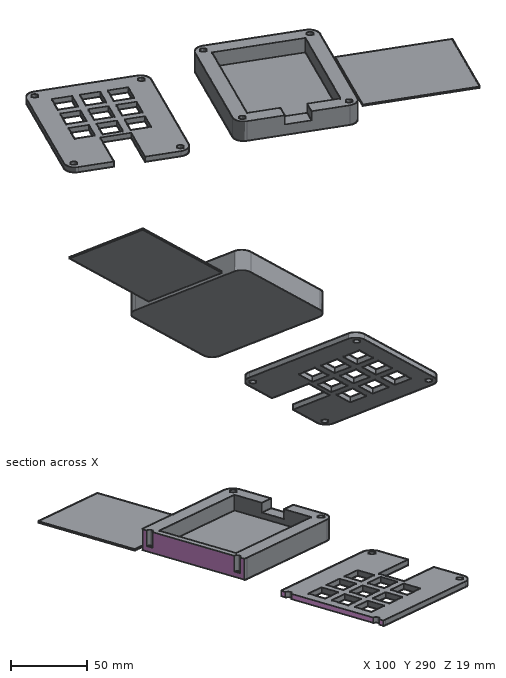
import cadquery as cq

CASE_WIDTH = 100.0
CASE_DEPTH = 85.3
CORNER_RADIUS = 7.5
SCREW_DIAMETER = 4.5
SCREW_SPACING_X = 89.0
SCREW_SPACING_Y = 72.8

PLATE_THICKNESS = 4.0
PLATE_CENTER_Y = CASE_DEPTH / 2
KEY_COUNT = 3
KEY_SIZE = 14.0
KEY_PITCH = 19.0
KEY_GRID_X = -11.3
KEY_GRID_Y = -1.0
PLATE_SLOT_LENGTH = 31.5
PLATE_SLOT_WIDTH = 21.2

HOUSING_HEIGHT = 15.0
HOUSING_FRONT_Y = 115.0
HOUSING_CENTER_Y = HOUSING_FRONT_Y + CASE_DEPTH / 2
POCKET_LENGTH = 80.0
POCKET_WIDTH = 63.8
FLOOR_THICKNESS = 4.0
POCKET_DEPTH = HOUSING_HEIGHT - FLOOR_THICKNESS
NOTCH_WIDTH = 18.3
NOTCH_DEPTH = 7.0

SHEET_WIDTH = 63.0
SHEET_LENGTH = POCKET_LENGTH
SHEET_THICKNESS = 1.2
SHEET_CENTER_X = (SHEET_WIDTH - POCKET_LENGTH) / 2
LAYOUT_LENGTH = 290
SHEET_CENTER_Y = LAYOUT_LENGTH - SHEET_LENGTH / 2

BOTTOM_UP = (True, True, False)


def rounded_slab(height):
    """Slab with the case footprint, standing on Z = 0."""
    slab = cq.Workplane("XY").box(CASE_WIDTH, CASE_DEPTH, height, centered=BOTTOM_UP)
    return slab.edges("|Z").fillet(CORNER_RADIUS)


def screw_holes(depth):
    """Four corner cylinders, standing on Z = 0, for cutting screw holes."""
    corners = cq.Workplane("XY").rarray(SCREW_SPACING_X, SCREW_SPACING_Y, 2, 2)
    return corners.circle(SCREW_DIAMETER / 2).extrude(depth)


def right_side_cutter(length, width, height):
    """Block reaching inward from the right side, centred across the case."""
    block = cq.Workplane("XY").box(length, width, height, centered=BOTTOM_UP)
    return block.translate(((CASE_WIDTH - length) / 2, 0, 0))


def make_key_plate():
    """Plate with a square grid of key windows and a slot open to the right."""
    windows = (
        cq.Workplane("XY")
        .center(KEY_GRID_X, KEY_GRID_Y)
        .rarray(KEY_PITCH, KEY_PITCH, KEY_COUNT, KEY_COUNT)
        .rect(KEY_SIZE, KEY_SIZE)
        .extrude(PLATE_THICKNESS)
    )
    slot = right_side_cutter(PLATE_SLOT_LENGTH, PLATE_SLOT_WIDTH, PLATE_THICKNESS)
    plate = rounded_slab(PLATE_THICKNESS).cut(screw_holes(PLATE_THICKNESS))
    return plate.cut(windows).cut(slot).translate((0, PLATE_CENTER_Y, 0))


def make_housing():
    """Open tray with blind screw holes and a notch through the right wall."""
    pocket = cq.Workplane("XY").box(POCKET_LENGTH, POCKET_WIDTH, POCKET_DEPTH, centered=BOTTOM_UP)
    wall_thickness = (CASE_WIDTH - POCKET_LENGTH) / 2
    notch = right_side_cutter(wall_thickness, NOTCH_WIDTH, NOTCH_DEPTH)
    floor_level = (0, 0, FLOOR_THICKNESS)
    housing = rounded_slab(HOUSING_HEIGHT).cut(pocket.translate(floor_level))
    housing = housing.cut(screw_holes(POCKET_DEPTH).translate(floor_level))
    housing = housing.cut(notch.translate((0, 0, HOUSING_HEIGHT - NOTCH_DEPTH)))
    return housing.translate((0, HOUSING_CENTER_Y, PLATE_THICKNESS))


def make_sheet():
    """Flat rectangular sheet behind the housing."""
    sheet = cq.Workplane("XY").box(SHEET_WIDTH, SHEET_LENGTH, SHEET_THICKNESS, centered=BOTTOM_UP)
    return sheet.translate((SHEET_CENTER_X, SHEET_CENTER_Y, 0))


key_plate = make_key_plate()
housing = make_housing()
sheet = make_sheet()

result = cq.Compound.makeCompound([key_plate.val(), housing.val(), sheet.val()])